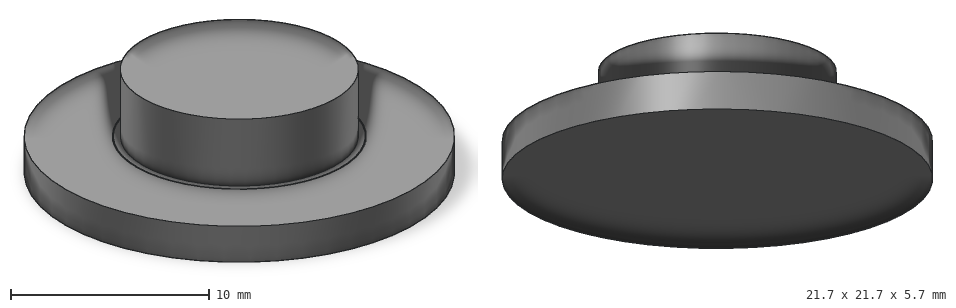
import cadquery as cq

base_diameter = 21.7
base_height = 2.0
recess_diameter = 12.8
recess_depth = 1.0

flange_diameter = 12.7
boss_diameter = 12.0
total_height = 5.7

recess_floor = base_height - recess_depth
boss_height = total_height - base_height


def make_base():
    """Disc standing on the XY plane, with the recess open at the top."""
    disc = cq.Workplane("XY").circle(base_diameter / 2).extrude(base_height)
    recess = (
        cq.Workplane("XY")
        .workplane(offset=recess_floor)
        .circle(recess_diameter / 2)
        .extrude(recess_depth)
    )
    return disc.cut(recess)


def make_plug():
    """Stepped plug on the recess floor, its flange flush with the base top."""
    flange = (
        cq.Workplane("XY")
        .workplane(offset=recess_floor)
        .circle(flange_diameter / 2)
        .extrude(recess_depth)
    )
    boss = (
        cq.Workplane("XY")
        .workplane(offset=base_height)
        .circle(boss_diameter / 2)
        .extrude(boss_height)
    )
    return flange.union(boss)


base = make_base()
plug = make_plug()
result = cq.Compound.makeCompound([base.val(), plug.val()])